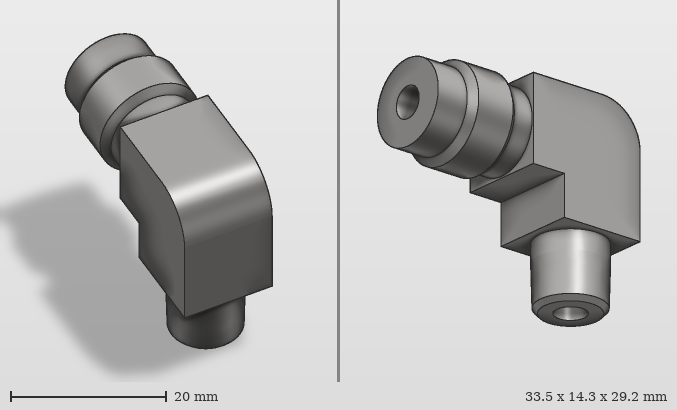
import cadquery as cq

total_length = 33.53

body_width = 12.67
body_start = 15.7
body_bottom = -12.45
half_width = body_width / 2
stud_axis = total_length - half_width

inlet_radius = 6.1
collar_radius = 7.15
collar_start = 4.83
collar_end = 12.7
collar_bevel_length = 1.07

stud_radius = 5.13
stud_tip_radius = 4.95
stud_end_radius = 4.25
taper_start = -15.35
taper_end = -21.35
stud_bottom = -22.1

bore_radius = 2.28


def make_body():
    """Elbow block with its outer corner rounded about the stud axis."""
    inner_corner = total_length - body_width
    block = (
        cq.Workplane("XZ")
        .moveTo(body_start, half_width)
        .lineTo(stud_axis, half_width)
        .radiusArc((total_length, 0), half_width)
        .lineTo(total_length, body_bottom)
        .lineTo(inner_corner, body_bottom)
        .lineTo(inner_corner, -half_width)
        .lineTo(body_start, -half_width)
        .close()
    )
    return block.extrude(half_width, both=True)


def make_inlet():
    """Inlet tube and collar, revolved about the X axis."""
    profile = [
        (0, 0),
        (0, inlet_radius),
        (collar_start, inlet_radius),
        (collar_start + collar_bevel_length, collar_radius),
        (collar_end - collar_bevel_length, collar_radius),
        (collar_end, inlet_radius),
        (body_start, inlet_radius),
        (body_start, 0),
    ]
    return cq.Workplane("XY").polyline(profile).close().revolve(360, (0, 0, 0), (1, 0, 0))


def make_stud():
    """Straight neck, slight taper and bevelled end, revolved about the stud axis."""
    profile = [
        (0, body_bottom),
        (stud_radius, body_bottom),
        (stud_radius, taper_start),
        (stud_tip_radius, taper_end),
        (stud_end_radius, stud_bottom),
        (0, stud_bottom),
    ]
    plane = cq.Workplane("XZ", origin=(stud_axis, 0, 0))
    return plane.polyline(profile).close().revolve(360, (0, 0, 0), (0, 1, 0))


def make_bore():
    """Passage from the inlet face to the stud end, with a spherical bend."""
    inlet_bore = cq.Workplane("YZ").circle(bore_radius).extrude(stud_axis)
    bend = cq.Workplane("XY").sphere(bore_radius).translate((stud_axis, 0, 0))
    stud_bore = cq.Workplane("XY").center(stud_axis, 0).circle(bore_radius).extrude(stud_bottom)
    return inlet_bore.union(stud_bore).union(bend)


result = make_body().union(make_inlet()).union(make_stud()).cut(make_bore())